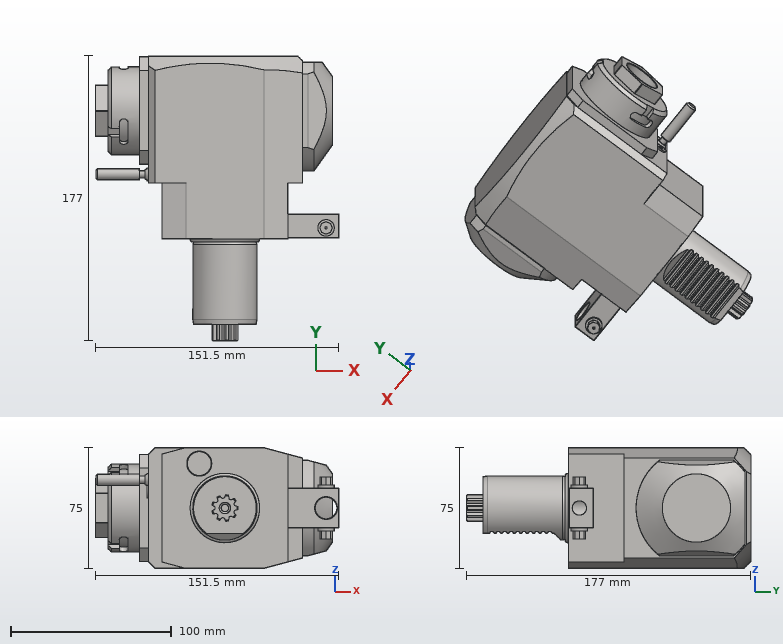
import cadquery as cq
import math


half_height = 37.5
housing_top = 113.6
step_y = 34.7
head_left, head_right = -47.6, 48.3
neck_half_width = 39.1
neck_taper_start = -24.2
taper_start = 24.2
taper_slope = math.tan(math.radians(15))
left_chamfer = 4.2
corner_chamfer = 3.0
crown_center_x = -8.8
crown_top_radius = 126.5
crown_axis_drop = 93.5
plug_x, plug_z, plug_radius = -16.0, 27.6, 7.8
plug_gap = 0.4

spindle_y = 79.6
plate_left = -53.1
plate_bottom, plate_top = 46.4, 113.3
plate_half_height = 33.3
plate_chamfer = 8.5
collar_left = -72.7
collar_radius = 27.5
collar_chamfer = 2.3
lock_count = 3
lock_slot_length, lock_slot_width = 18.2, 5.5
lock_slot_x = -62.8
lock_key_width = 5.8
lock_floor_radius = 24.5
hex_left = -80.5
hex_flats = 32.0
hex_edge_chamfer = 0.4
hex_bore_radius, hex_bore_depth, hex_bore_chamfer = 11.7, 7.5, 0.4

cap_radius, cap_end_radius = 37.5, 21.2
cap_cone_start, cap_right = 55.2, 66.9
cap_flat_end = 51.5
cap_half_height = 29.7
cap_top = 110.0

flange_radius, flange_length, flange_round = 21.6, 2.0, 1.6
relief_radius, relief_end = 19.5, 3.5
shank_radius, shank_length = 20.0, 53.1
shank_tip_radius, shank_taper_length = 19.5, 3.0
flat_depth_z = 15.8
flat_start, flat_ramp = 8.7, 4.2
groove_count, first_groove, last_groove = 10, 11.5, 47.5
groove_pitch = (last_groove - first_groove) / (groove_count - 1)
groove_mouth, groove_floor, groove_depth = 3.2, 1.5, 1.0
spline_length = 10.3
spline_tip_radius, spline_root_radius = 8.3, 6.2
spline_teeth = 9
spline_tip_share, spline_root_share = 0.3, 0.3
spline_chamfer = 0.7
center_hole_radius, center_hole_depth, center_hole_chamfer = 2.3, 5.3, 1.2

arm_right = 71.0
arm_front, arm_back = 0.5, 15.5
arm_half_height = 12.4
arm_edge_chamfer = 0.4
arm_hole_x, arm_hole_radius = 62.8, 6.7
arm_hole_chamfer = 0.4
arm_outlet_radius = 4.5
screw_y = 6.9
screw_bore_radius, screw_bore_reach = 3.9, 7.0
washer_radius, washer_thickness = 5.1, 2.0
screw_head_radius, screw_head_height = 3.9, 5.0
screw_head_sides = 8
screw_hole_radius, screw_hole_depth = 0.7, 1.0

pin_y, pin_z = 40.2, 17.5
pin_left, pin_right = -80.2, -53.1
pin_radius, pin_chamfer = 3.5, 1.0
pin_neck_radius = 2.3
pin_base_start = -49.7
pin_base_small, pin_base_radius = 2.8, 4.0
stop_radius, stop_hole_radius = 4.0, 1.5
stop_z, stop_height = 10.3, 0.9

overlap = 0.9


def box(x0, x1, y0, y1, z0, z1):
    return cq.Workplane("XY").box(x1 - x0, y1 - y0, z1 - z0, centered=False).translate((x0, y0, z0))


def rod_x(radius, x0, x1, y, z):
    return cq.Workplane("YZ", origin=(x0, y, z)).circle(radius).extrude(x1 - x0)


def rod_y(radius, y0, y1, x, z):
    return cq.Workplane("XZ", origin=(x, y0, z)).circle(radius).extrude(y0 - y1)


def spline_outline(plane):
    """Closed outline with flat-topped teeth, the first one on the local x axis."""
    pitch = 2 * math.pi / spline_teeth
    tooth_corners = (
        (spline_tip_radius, -spline_tip_share / 2),
        (spline_tip_radius, spline_tip_share / 2),
        (spline_root_radius, (1 - spline_root_share) / 2),
        (spline_root_radius, (1 + spline_root_share) / 2),
    )
    points = []
    for tooth in range(spline_teeth):
        for radius, offset in tooth_corners:
            angle = (tooth + offset) * pitch
            points.append((radius * math.cos(angle), radius * math.sin(angle)))
    return plane.polyline(points).close()


def housing_prism(left, right, left_taper_x, left_z, y0, y1):
    """Body section symmetric in Z, with a bevel on the left and the common taper on the right."""
    right_z = half_height - max(0, right - taper_start) * taper_slope
    upper = [(left, left_z), (left_taper_x, half_height), (taper_start, half_height), (right, right_z)]
    lower = [(x, -z) for x, z in reversed(upper)]
    return cq.Workplane("XZ", origin=(0, y0, 0)).polyline(upper + lower).close().extrude(y0 - y1)


def crown_cone(side):
    """45 degree cone along Y that bevels the upper (side 1) or lower (side -1) back edge."""
    height = housing_top + overlap
    profile = [
        (0, -overlap),
        (crown_top_radius + housing_top + overlap, -overlap),
        (crown_top_radius, housing_top),
        (0, housing_top),
    ]
    cone = cq.Workplane("XY").polyline(profile).close().revolve(360, (0, 0, 0), (0, height, 0))
    return cone.translate((crown_center_x, 0, -side * crown_axis_drop))


def make_housing():
    head = housing_prism(
        head_left, head_right, head_left + left_chamfer, half_height - left_chamfer, step_y, housing_top
    )
    head = head.faces(">Y").edges(">X").chamfer(corner_chamfer)
    head = head.intersect(crown_cone(1)).intersect(crown_cone(-1))
    neck_edge_z = half_height - (neck_half_width + neck_taper_start) * taper_slope
    neck = housing_prism(
        -neck_half_width, neck_half_width, neck_taper_start, neck_edge_z, 0, step_y + overlap
    )
    plug_ring = rod_y(plug_radius, 0, plug_gap, plug_x, plug_z).cut(
        rod_y(plug_radius - plug_gap, 0, plug_gap, plug_x, plug_z)
    )
    return head.union(neck).cut(plug_ring)


def make_plate():
    plate = box(
        plate_left, head_left + overlap, plate_bottom, plate_top, -plate_half_height, plate_half_height
    )
    return plate.edges("|X").chamfer(plate_chamfer)


def lock_cutter():
    """Curved slot with a key slot to the free end, on the +Z side of an X axis."""
    floor_plane = cq.Workplane("XY", origin=(lock_slot_x, 0, 0))
    slot = floor_plane.slot2D(lock_slot_length, lock_slot_width, 90).extrude(collar_radius + overlap)
    core = rod_x(lock_floor_radius, collar_left - overlap, plate_left, 0, 0)
    half_key = lock_key_width / 2
    key = box(
        collar_left - overlap, lock_slot_x, -half_key, half_key, lock_floor_radius, collar_radius + overlap
    )
    return slot.cut(core).union(key)


def make_spindle():
    collar = rod_x(collar_radius, collar_left, plate_left + overlap, 0, 0)
    collar = collar.faces("<X").chamfer(collar_chamfer)
    cutter = lock_cutter()
    for lock in range(lock_count):
        turn = -90 + lock * 360 / lock_count
        collar = collar.cut(cutter.rotate((0, 0, 0), (1, 0, 0), turn))
    hexagon = (
        cq.Workplane("YZ", origin=(hex_left, 0, 0))
        .transformed(rotate=(0, 0, 90))
        .polygon(6, hex_flats / math.cos(math.radians(30)))
        .extrude(collar_left + overlap - hex_left)
    )
    hexagon = hexagon.edges("|X").chamfer(hex_edge_chamfer)
    hexagon = hexagon.cut(rod_x(hex_bore_radius, hex_left, hex_left + hex_bore_depth, 0, 0))
    hexagon = hexagon.faces("<X").edges("%CIRCLE").chamfer(hex_bore_chamfer)
    return collar.union(hexagon).translate((0, spindle_y, 0))


def make_cap():
    start = head_right - overlap
    profile = [
        (start, 0),
        (start, cap_radius),
        (cap_cone_start, cap_radius),
        (cap_right, cap_end_radius),
        (cap_right, 0),
    ]
    cap = cq.Workplane("XY").polyline(profile).close().revolve(360, (0, 0, 0), (1, 0, 0))
    end_z = cap_half_height - (cap_right - cap_flat_end) * taper_slope
    upper = [(start, cap_half_height), (cap_flat_end, cap_half_height), (cap_right, end_z)]
    lower = [(x, -z) for x, z in reversed(upper)]
    envelope = (
        cq.Workplane("XZ", origin=(0, -cap_radius, 0))
        .polyline(upper + lower)
        .close()
        .extrude(-(cap_radius + cap_top - spindle_y))
    )
    return cap.intersect(envelope).translate((0, spindle_y, 0))


def make_shank():
    profile = [
        (0, overlap),
        (relief_radius, overlap),
        (relief_radius, -flange_length),
        (shank_radius, -relief_end),
        (shank_radius, shank_taper_length - shank_length),
        (shank_tip_radius, -shank_length),
        (0, -shank_length),
    ]
    shank = cq.Workplane("XY").polyline(profile).close().revolve(360, (0, 0, 0), (0, 1, 0))

    flat_profile = [
        (-flat_start, -flat_depth_z),
        (-flat_start + flat_ramp, -flat_depth_z - flat_ramp),
        (-flat_start + flat_ramp, -2 * shank_radius),
        (-shank_length - overlap, -2 * shank_radius),
        (-shank_length - overlap, -flat_depth_z),
    ]
    side = cq.Workplane("YZ")
    shank = shank.cut(side.polyline(flat_profile).close().extrude(shank_radius, both=True))
    groove_profile = [
        (-groove_mouth / 2, -flat_depth_z),
        (-groove_floor / 2, -flat_depth_z + groove_depth),
        (groove_floor / 2, -flat_depth_z + groove_depth),
        (groove_mouth / 2, -flat_depth_z),
    ]
    groove = side.polyline(groove_profile).close().extrude(shank_radius, both=True)
    for index in range(groove_count):
        shank = shank.cut(groove.translate((0, -first_groove - index * groove_pitch, 0)))

    flange = rod_y(flange_radius, -flange_length, overlap, 0, 0).faces("<Y").edges().fillet(flange_round)
    return shank.union(flange)


def make_spline():
    tip_y = -shank_length - spline_length
    start = cq.Workplane("XZ", origin=(0, overlap - shank_length, 0))
    spline = spline_outline(start).extrude(spline_length + overlap)
    blank = rod_y(spline_tip_radius, tip_y, overlap - shank_length, 0, 0)
    blank = blank.faces("<Y").chamfer(spline_chamfer)
    hole = rod_y(center_hole_radius, tip_y, tip_y + center_hole_depth, 0, 0)
    countersink = cq.Workplane("XY").add(
        cq.Solid.makeCone(
            center_hole_radius + center_hole_chamfer,
            center_hole_radius,
            center_hole_chamfer,
            cq.Vector(0, tip_y, 0),
            cq.Vector(0, 1, 0),
        )
    )
    return spline.intersect(blank).cut(hole).cut(countersink)


def make_clamp_screw():
    """Washer and eight-sided head standing on the top of the arm."""
    base = cq.Workplane("XY", origin=(arm_hole_x, screw_y, arm_half_height - overlap))
    washer = base.circle(washer_radius).extrude(washer_thickness + overlap)
    head = base.polygon(screw_head_sides, 2 * screw_head_radius).extrude(
        overlap + washer_thickness + screw_head_height
    )
    return washer.union(head).faces(">Z").workplane(origin=(arm_hole_x, screw_y, 0)).hole(
        2 * screw_hole_radius, screw_hole_depth
    )


def make_arm():
    arm = box(
        neck_half_width - overlap, arm_right, arm_front, arm_back, -arm_half_height, arm_half_height
    )
    arm = arm.faces(">X or >Z or <Z").edges().chamfer(arm_edge_chamfer)
    arm = arm.cut(rod_y(arm_hole_radius, arm_front, arm_back, arm_hole_x, 0))
    arm = arm.edges("%CIRCLE").chamfer(arm_hole_chamfer)
    arm = arm.cut(rod_x(arm_outlet_radius, arm_hole_x, arm_right, screw_y, 0))
    screw_bore = cq.Workplane("XY", origin=(arm_hole_x, screw_y, 0))
    arm = arm.cut(screw_bore.circle(screw_bore_radius).extrude(screw_bore_reach, both=True))
    screw = make_clamp_screw()
    return arm.union(screw).union(screw.mirror("XY"))


def make_pin():
    pin = rod_x(pin_radius, pin_left, pin_right, pin_y, pin_z).faces("<X").chamfer(pin_chamfer)
    neck = rod_x(pin_neck_radius, pin_right - overlap, head_left + overlap, pin_y, pin_z)
    base = cq.Workplane("XY").add(
        cq.Solid.makeCone(
            pin_base_small,
            pin_base_radius,
            head_left - pin_base_start,
            cq.Vector(pin_base_start, pin_y, pin_z),
            cq.Vector(1, 0, 0),
        )
    )
    return pin.union(neck).union(base)


def make_stop_screw():
    face = head_left - stop_height
    disc = rod_x(stop_radius, face, head_left + overlap, pin_y, stop_z)
    return disc.cut(rod_x(stop_hole_radius, face, head_left, pin_y, stop_z))


result = make_housing()
for feature in (
    make_plate(),
    make_spindle(),
    make_cap(),
    make_shank(),
    make_spline(),
    make_arm(),
    make_pin(),
    make_stop_screw(),
):
    result = result.union(feature)